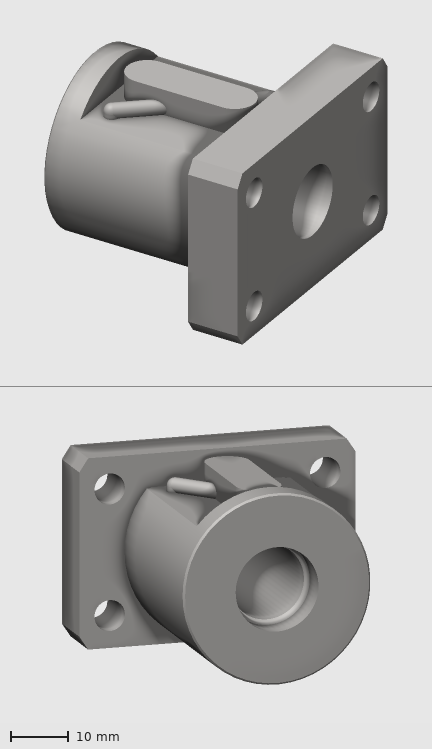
import cadquery as cq
import math

total_length = 44.0
body_diameter = 34.0
front_chamfer = 0.35

flange_thickness = 10.0
flange_width = 50.0
flange_height = body_diameter
corner_cut_y = 1.6
corner_cut_z = 2.4
flange_start = total_length - flange_thickness

groove_width = 0.6
groove_diameter = 32.7
groove_start = flange_start - groove_width

hole_diameter = 5.5
hole_pitch_y = 39.0
hole_pitch_z = 22.5

mouth_diameter = 15.0
bore_diameter = 13.4
mouth_depth = 5.0
cone_length = (mouth_diameter - bore_diameter) / 2

flat_start = 5.0
flat_z = 11.0

clamp_length = 25.6
clamp_width = 8.0
clamp_top_z = 16.0
clamp_center_x = 19.5

tube_diameter = 2.9
tube_axis_z = 12.0
tube_reach_x = 10.6
tube_reach_y = 8.9
leg_embed = 1.0


def cylinder_x(diameter, start, end):
    """Cylinder around the X axis between two X positions."""
    return cq.Workplane("YZ").workplane(offset=start).circle(diameter / 2).extrude(end - start)


def make_body():
    barrel = cylinder_x(body_diameter, 0, groove_start).faces("<X").chamfer(front_chamfer)
    neck = cylinder_x(groove_diameter, groove_start, flange_start)
    body = barrel.union(neck)
    flat_length = flange_start - flat_start
    flat_cut = (
        cq.Workplane("XY")
        .workplane(offset=flat_z)
        .center(flat_start + flat_length / 2, 0)
        .rect(flat_length, body_diameter)
        .extrude(body_diameter)
    )
    return body.cut(flat_cut)


def make_flange():
    half_y = flange_width / 2
    half_z = flange_height / 2
    inner_y = half_y - corner_cut_y
    inner_z = half_z - corner_cut_z
    outline = [
        (half_y, -inner_z),
        (half_y, inner_z),
        (inner_y, half_z),
        (-inner_y, half_z),
        (-half_y, inner_z),
        (-half_y, -inner_z),
        (-inner_y, -half_z),
        (inner_y, -half_z),
    ]
    flange = cq.Workplane("YZ").workplane(offset=flange_start).polyline(outline).close()
    flange = flange.extrude(flange_thickness)
    holes = (
        cq.Workplane("YZ")
        .workplane(offset=flange_start)
        .rarray(hole_pitch_y, hole_pitch_z, 2, 2)
        .circle(hole_diameter / 2)
        .extrude(flange_thickness)
    )
    return flange.cut(holes)


def make_bore():
    mouth_radius = mouth_diameter / 2
    bore_radius = bore_diameter / 2
    profile = [
        (0, 0),
        (0, mouth_radius),
        (mouth_depth, mouth_radius),
        (mouth_depth + cone_length, bore_radius),
        (total_length, bore_radius),
        (total_length, 0),
    ]
    return cq.Workplane("XY").polyline(profile).close().revolve(360, (0, 0, 0), (1, 0, 0))


def make_clamp():
    return (
        cq.Workplane("XY")
        .workplane(offset=flat_z)
        .center(clamp_center_x, 0)
        .slot2D(clamp_length, clamp_width)
        .extrude(clamp_top_z - flat_z)
    )


def make_return_tube():
    """Straight ball-ended tube with a vertical leg below the ball at each end."""
    radius = tube_diameter / 2
    half_length = math.hypot(tube_reach_x, tube_reach_y)
    tip = half_length + radius
    tube = (
        cq.Workplane("XZ")
        .moveTo(-tip, 0)
        .radiusArc((-half_length, radius), radius)
        .lineTo(half_length, radius)
        .radiusArc((tip, 0), radius)
        .close()
        .revolve(360, (0, 0, 0), (1, 0, 0))
    )
    legs = (
        cq.Workplane("XY")
        .pushPoints([(-half_length, 0), (half_length, 0)])
        .circle(radius)
        .extrude(flat_z - leg_embed - tube_axis_z)
    )
    tube_angle = math.degrees(math.atan2(tube_reach_y, tube_reach_x))
    return (
        tube.union(legs)
        .rotate((0, 0, 0), (0, 0, 1), tube_angle)
        .translate((clamp_center_x, 0, tube_axis_z))
    )


result = (
    make_body()
    .union(make_flange())
    .union(make_clamp())
    .union(make_return_tube())
    .cut(make_bore())
)